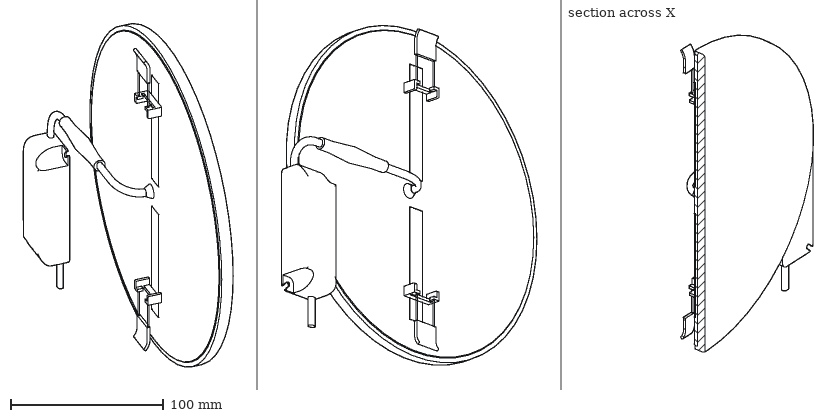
import cadquery as cq
import math


RIM_DIAMETER = 229.0
RIM_DEPTH = 9.0
RIM_FRONT_FILLET = 2.5
PLATE_DIAMETER = 223.0
PLATE_RAISE = 0.5
PLATE_SEAT_DEPTH = 2.0
PLATE_REAR = -PLATE_RAISE

STRIP_WIDTH = 11.5
STRIP_INNER_END = 10.5
STRIP_OUTER_END = 89.8
STRIP_THICKNESS = 0.8

BRACKET_WIDTH = 23.2
BRACKET_WALL = 2.0
BRACKET_REAR = -10.3
BRACKET_OUTER_END = 75.0
BRACKET_LENGTH = 6.7
BRIDGE_REAR = -4.6
ARM_CORNER_FILLET = 1.0
LUG_WIDTH = 2.8
LUG_FRONT = -6.2

CLIP_WIDTH = 18.0
CLIP_Y = -8.8
WIRE_DIAMETER = 1.0
WIRE_INSET = 0.9
TAB_THICKNESS = 2.0
TAB_TIP_FILLET = 0.8
TAB_START = 93.7
TAB_BEND_START = 103.5
TAB_BEND_RADIUS = 10.0
TAB_BEND_ANGLE = 45.0

DRIVER_LEFT = -142.9
DRIVER_WIDTH = 32.0
DRIVER_TOP = -24.5
DRIVER_HEIGHT = 86.5
DRIVER_FRONT = -15.7
DRIVER_DEPTH = 21.4
DRIVER_END_RADIUS = 14.5
DRIVER_END_DEPTH = 14.2
DRIVER_SIDE_FILLET = 4.0
DRIVER_CORNER_RADIUS = 4.6
EAR_SIZE = 10.0
EAR_THICKNESS = 1.3
EAR_INNER_RADIUS = 4.0
EAR_SLOT_WIDTH = 3.0
EAR_SLOT_INSET = 5.0

CABLE_WIDTH = 5.5
CABLE_THICKNESS = 3.9
CABLE_Y = -19.5
CABLE_Z = 0.13
MAINS_X = -118.5
MAINS_END = -131.0
OUTPUT_X = -135.0
OUTPUT_BEND_RADIUS = 21.0
PLUG_LEFT = -110.2
PLUG_LENGTH = 60.2
PLUG_COLLAR_LENGTH = 10.0
PLUG_END_DIAMETER = 8.0
PLUG_MIDDLE_DIAMETER = 11.3
GROMMET_X = -7.0
GROMMET_BASE_DIAMETER = 10.0
GROMMET_TIP_DIAMETER = 5.5
GROMMET_LENGTH = 4.5
LAMP_BEND_START = -31.0


def box(x_range, y_range, z_range):
    """Box between the given pairs of limits."""
    size = [high - low for low, high in (x_range, y_range, z_range)]
    return cq.Workplane("XY").box(*size, centered=False).translate((x_range[0], y_range[0], z_range[0]))


def disc(diameter, y_start, y_end):
    """Round disc about the Y axis."""
    return cq.Workplane("XZ", origin=(0, y_end, 0)).circle(diameter / 2).extrude(y_end - y_start)


def upper_and_lower(body):
    """The body above the lamp centre and its copy turned half a turn about the lamp axis."""
    return [body.rotate((0, 0, 0), (0, 1, 0), angle) for angle in (0, 180)]


def make_strip():
    half = STRIP_WIDTH / 2
    return box((-half, half), (PLATE_REAR, PLATE_REAR + STRIP_THICKNESS), (STRIP_INNER_END, STRIP_OUTER_END))


def make_rim():
    rim = disc(RIM_DIAMETER, 0, RIM_DEPTH).faces(">Y").edges().fillet(RIM_FRONT_FILLET)
    return rim.cut(disc(PLATE_DIAMETER, 0, PLATE_SEAT_DEPTH))


def make_plate(strips):
    plate = disc(PLATE_DIAMETER, PLATE_REAR, PLATE_SEAT_DEPTH)
    plate = plate.faces("<Y").edges().chamfer(PLATE_RAISE)
    for strip in strips:
        plate = plate.cut(strip)
    return plate


def make_bracket():
    half = BRACKET_WIDTH / 2
    inner = half - BRACKET_WALL
    bridge_z = (BRACKET_OUTER_END - BRACKET_WALL, BRACKET_OUTER_END)
    arm_z = (BRACKET_OUTER_END - BRACKET_LENGTH, BRACKET_OUTER_END)
    bracket = box((-half, half), (BRIDGE_REAR, PLATE_REAR), bridge_z)
    arm = box((inner, half), (BRACKET_REAR, PLATE_REAR), arm_z)
    arm = arm.edges("|X and <Y and <Z").fillet(ARM_CORNER_FILLET)
    lug = box((inner - LUG_WIDTH, inner), (BRACKET_REAR, LUG_FRONT), bridge_z)
    side = arm.union(lug)
    return bracket.union(side).union(side.mirror("YZ"))


def make_clip():
    half = CLIP_WIDTH / 2
    half_tab = TAB_THICKNESS / 2
    bend_y = CLIP_Y - TAB_BEND_RADIUS

    def bend_point(radius, degrees):
        angle = math.radians(degrees)
        return (bend_y + radius * math.cos(angle), TAB_BEND_START + radius * math.sin(angle))

    outer = TAB_BEND_RADIUS + half_tab
    inner = TAB_BEND_RADIUS - half_tab
    tab = (
        cq.Workplane("YZ", origin=(-half, 0, 0))
        .moveTo(CLIP_Y + half_tab, TAB_START)
        .lineTo(*bend_point(outer, 0))
        .threePointArc(bend_point(outer, TAB_BEND_ANGLE / 2), bend_point(outer, TAB_BEND_ANGLE))
        .lineTo(*bend_point(inner, TAB_BEND_ANGLE))
        .threePointArc(bend_point(inner, TAB_BEND_ANGLE / 2), bend_point(inner, 0))
        .lineTo(CLIP_Y - half_tab, TAB_START)
        .close()
        .extrude(CLIP_WIDTH)
        .edges("|X and (>Z or <Y)").fillet(TAB_TIP_FILLET)
    )
    wire = (
        cq.Workplane("XY", origin=(half - WIRE_INSET, CLIP_Y, BRACKET_OUTER_END))
        .circle(WIRE_DIAMETER / 2)
        .extrude(TAB_BEND_START - BRACKET_OUTER_END)
    )
    return tab.union(wire).union(wire.mirror("YZ"))


def cable_section(workplane, turn):
    """Stadium section of the flat cable, its wide side turned by the given angle in degrees."""
    return workplane.slot2D(CABLE_WIDTH, CABLE_THICKNESS, turn)


def ear_cutter():
    """Pocket and slot that form the ear at a +X +Z corner lying on the Y axis."""
    pocket = box(
        (-EAR_SIZE, EAR_SIZE),
        (DRIVER_FRONT - DRIVER_DEPTH, DRIVER_FRONT - EAR_THICKNESS),
        (-EAR_SIZE, EAR_SIZE),
    ).edges("|Y and <X and <Z").fillet(EAR_INNER_RADIUS)
    slot_length = 2 * EAR_SLOT_INSET * math.sqrt(2) + EAR_SLOT_WIDTH
    slot = (
        cq.Workplane("XZ", origin=(0, DRIVER_FRONT, 0))
        .slot2D(slot_length, EAR_SLOT_WIDTH, 45)
        .extrude(DRIVER_DEPTH)
    )
    return pocket.union(slot)


def rounded_ends():
    """Side outline of the driver, with both ends curving over to meet the rear face at an edge."""
    bottom = DRIVER_TOP - DRIVER_HEIGHT
    rear = DRIVER_FRONT - DRIVER_DEPTH
    curve_start = rear + DRIVER_END_DEPTH
    sweep = math.asin(DRIVER_END_DEPTH / DRIVER_END_RADIUS)

    def inset(angle):
        return DRIVER_END_RADIUS * (1 - math.cos(angle))

    middle_y = curve_start - DRIVER_END_RADIUS * math.sin(sweep / 2)
    return (
        cq.Workplane("YZ", origin=(DRIVER_LEFT, 0, 0))
        .moveTo(DRIVER_FRONT, bottom)
        .lineTo(DRIVER_FRONT, DRIVER_TOP)
        .lineTo(curve_start, DRIVER_TOP)
        .threePointArc((middle_y, DRIVER_TOP - inset(sweep / 2)), (rear, DRIVER_TOP - inset(sweep)))
        .lineTo(rear, bottom + inset(sweep))
        .threePointArc((middle_y, bottom + inset(sweep / 2)), (curve_start, bottom))
        .close()
        .extrude(DRIVER_WIDTH)
    )


def make_driver():
    right = DRIVER_LEFT + DRIVER_WIDTH
    bottom = DRIVER_TOP - DRIVER_HEIGHT
    rear = DRIVER_FRONT - DRIVER_DEPTH
    block = box((DRIVER_LEFT, right), (rear, DRIVER_FRONT), (bottom, DRIVER_TOP))
    corners = block.edges("|Y").fillet(DRIVER_CORNER_RADIUS)
    sides = block.edges("|Z and <Y").fillet(DRIVER_SIDE_FILLET)
    driver = corners.intersect(sides).intersect(rounded_ends())

    upper_ear = ear_cutter().translate((right, 0, DRIVER_TOP))
    lower_ear = ear_cutter().rotate((0, 0, 0), (0, 1, 0), 180).translate((DRIVER_LEFT, 0, bottom))
    driver = driver.cut(upper_ear).cut(lower_ear)

    mains_plane = cq.Workplane("XY", origin=(MAINS_X, CABLE_Y, MAINS_END))
    return driver.union(cable_section(mains_plane, 0).extrude(bottom - MAINS_END))


def make_plug():
    """Two tapered plug halves with plain collars, turned about the cable axis."""
    end = PLUG_END_DIAMETER / 2
    middle = PLUG_MIDDLE_DIAMETER / 2
    right = PLUG_LEFT + PLUG_LENGTH
    profile = [
        (PLUG_LEFT, 0),
        (PLUG_LEFT, end),
        (PLUG_LEFT + PLUG_COLLAR_LENGTH, end),
        (PLUG_LEFT + PLUG_LENGTH / 2, middle),
        (right - PLUG_COLLAR_LENGTH, end),
        (right, end),
        (right, 0),
    ]
    plug = cq.Workplane("XY").polyline(profile).close().revolve(360, (0, 0, 0), (1, 0, 0))
    return plug.translate((0, CABLE_Y, CABLE_Z))


def make_cable():
    bend_z = CABLE_Z - OUTPUT_BEND_RADIUS
    bend_end = OUTPUT_X + OUTPUT_BEND_RADIUS
    diagonal = OUTPUT_BEND_RADIUS * math.sqrt(0.5)
    driver_path = (
        cq.Workplane("XZ", origin=(0, CABLE_Y, 0))
        .moveTo(OUTPUT_X, DRIVER_TOP)
        .lineTo(OUTPUT_X, bend_z)
        .threePointArc((bend_end - diagonal, bend_z + diagonal), (bend_end, CABLE_Z))
        .lineTo(PLUG_LEFT, CABLE_Z)
    )
    driver_plane = cq.Workplane("XY", origin=(OUTPUT_X, CABLE_Y, DRIVER_TOP))
    driver_side = cable_section(driver_plane, 0).sweep(driver_path)

    plug_right = PLUG_LEFT + PLUG_LENGTH
    grommet_tip = PLATE_REAR - GROMMET_LENGTH
    lamp_path = (
        cq.Workplane("XY", origin=(0, 0, CABLE_Z))
        .moveTo(plug_right, CABLE_Y)
        .lineTo(LAMP_BEND_START, CABLE_Y)
        .ellipseArc(GROMMET_X - LAMP_BEND_START, grommet_tip - CABLE_Y, 270, 360, sense=1)
    )
    lamp_plane = cq.Workplane("YZ", origin=(plug_right, CABLE_Y, CABLE_Z))
    lamp_side = cable_section(lamp_plane, 90).sweep(lamp_path)

    grommet = (
        cq.Workplane("XZ", origin=(GROMMET_X, PLATE_REAR, CABLE_Z))
        .circle(GROMMET_BASE_DIAMETER / 2)
        .workplane(offset=GROMMET_LENGTH)
        .circle(GROMMET_TIP_DIAMETER / 2)
        .loft()
    )
    return make_plug().union(driver_side).union(lamp_side).union(grommet)


strips = upper_and_lower(make_strip())
brackets = upper_and_lower(make_bracket())
clips = upper_and_lower(make_clip())
rim = make_rim()
plate = make_plate(strips)
driver = make_driver()
cable = make_cable()

bodies = [rim, plate, *strips, *brackets, *clips, driver, cable]
result = cq.Compound.makeCompound([body.solids().val() for body in bodies])